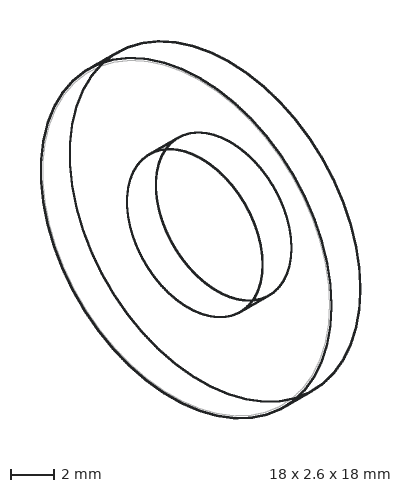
import cadquery as cq

outer_radius = 9.0
bore_radius = 4.2
overall_height = 2.6
edge_height = 2.0
rim_width = 0.13

cone_rise = overall_height - edge_height
hollow_radius = outer_radius - rim_width

section = (
    cq.Workplane("XY")
    .moveTo(bore_radius, cone_rise)
    .lineTo(hollow_radius, 0)
    .lineTo(outer_radius, 0)
    .lineTo(outer_radius, edge_height)
    .lineTo(bore_radius, overall_height)
    .close()
)

washer = section.revolve(360, (0, 0, 0), (0, 1, 0))
result = washer.translate((0, -overall_height / 2, 0))